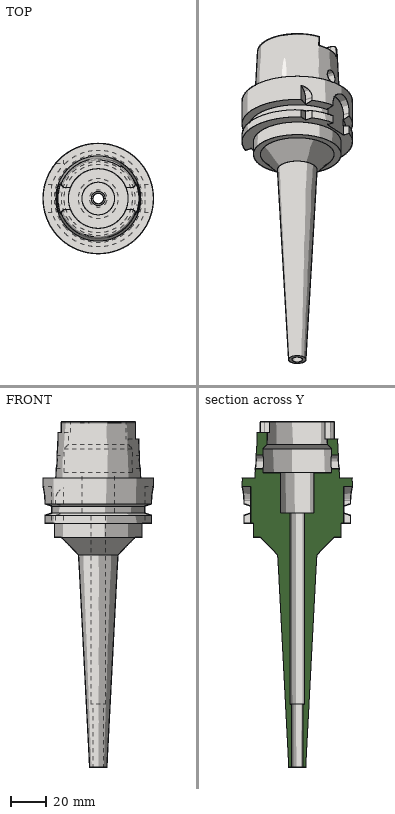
import cadquery as cq
import math


TAPER_LENGTH = 32.0
TAPER_BASE_DIAMETER = 48.5
TAPER_TOP_DIAMETER = 45.4
TAPER_EDGE_ROUND = 0.8

FLANGE_DIAMETER = 63.0
FLANGE_RADIUS = FLANGE_DIAMETER / 2
FLANGE_BOTTOM_Z = -26.0
GROOVE_DIAMETER = 55.0
GROOVE_CENTRE_Z = -18.1
GROOVE_FLOOR_WIDTH = 3.7
GROOVE_MOUTH_WIDTH = 6.6
COLLAR_DIAMETER = 50.0
COLLAR_BOTTOM_Z = -34.0

CONE_TOP_DIAMETER = 42.0
CONE_BOTTOM_Z = -44.0
SHANK_BOTTOM_Z = -165.0
SHANK_TIP_DIAMETER = 10.0
SHANK_HALF_ANGLE = 3.0

MOUTH_DIAMETER = 34.0
MOUTH_DEPTH = 13.0
UNDERCUT_DIAMETER = 39.0
UNDERCUT_CHAMFER = (UNDERCUT_DIAMETER - MOUTH_DIAMETER) / 2
CAVITY_FLOOR_Z = 3.0
TUBE_BORE_DIAMETER = 18.6
TUBE_BORE_FLOOR_Z = -20.0
PASSAGE_DIAMETER = 8.0
TOOL_BORE_DIAMETER = 6.0
TOOL_BORE_DEPTH = 36.0

KEYWAY_WIDTH = 12.5
KEYWAY_EDGE_ROUND = 2.5
KEYWAY_ROUND_OVERRUN = 0.1
LEFT_KEYWAY_DEPTH = 6.1
RIGHT_KEYWAY_DEPTH = 9.8

CROSS_HOLE_DIAMETER = 7.5
CROSS_HOLE_Z = 9.0

SLOT_WIDTH = 16.0
SLOT_ARC_CENTRE_Z = -13.0
SLOT_FLOOR_X = 26.5
NOTCH_CENTRE_Y = 28.0
NOTCH_FLOOR_X = 19.8


def revolve_profile(profile):
    """Revolve (radius, height) points about Z, starting on the +Y side."""
    return cq.Workplane("YZ").polyline(profile).close().revolve(360, (0, 0), (0, 1))


def make_body():
    """Revolve the outer profile."""
    flange_r = FLANGE_RADIUS
    groove_r = GROOVE_DIAMETER / 2
    collar_r = COLLAR_DIAMETER / 2
    half_floor = GROOVE_FLOOR_WIDTH / 2
    half_mouth = GROOVE_MOUTH_WIDTH / 2
    tip_r = SHANK_TIP_DIAMETER / 2
    shank_length = CONE_BOTTOM_Z - SHANK_BOTTOM_Z
    shank_top_r = tip_r + shank_length * math.tan(math.radians(SHANK_HALF_ANGLE))
    profile = [
        (0, TAPER_LENGTH),
        (TAPER_TOP_DIAMETER / 2, TAPER_LENGTH),
        (TAPER_BASE_DIAMETER / 2, 0),
        (flange_r, 0),
        (flange_r, GROOVE_CENTRE_Z + half_mouth),
        (groove_r, GROOVE_CENTRE_Z + half_floor),
        (groove_r, GROOVE_CENTRE_Z - half_floor),
        (flange_r, GROOVE_CENTRE_Z - half_mouth),
        (flange_r, FLANGE_BOTTOM_Z),
        (collar_r, FLANGE_BOTTOM_Z),
        (collar_r, COLLAR_BOTTOM_Z),
        (CONE_TOP_DIAMETER / 2, COLLAR_BOTTOM_Z),
        (shank_top_r, CONE_BOTTOM_Z),
        (tip_r, SHANK_BOTTOM_Z),
        (0, SHANK_BOTTOM_Z),
    ]
    return revolve_profile(profile).faces(">Z").edges().fillet(TAPER_EDGE_ROUND)


def make_axial_bores():
    """Revolve the stepped cavity that runs through the whole part."""
    mouth_r = MOUTH_DIAMETER / 2
    undercut_r = UNDERCUT_DIAMETER / 2
    tube_r = TUBE_BORE_DIAMETER / 2
    passage_r = PASSAGE_DIAMETER / 2
    tool_r = TOOL_BORE_DIAMETER / 2
    mouth_bottom_z = TAPER_LENGTH - MOUTH_DEPTH
    tool_bore_top_z = SHANK_BOTTOM_Z + TOOL_BORE_DEPTH
    profile = [
        (0, TAPER_LENGTH),
        (mouth_r, TAPER_LENGTH),
        (mouth_r, mouth_bottom_z),
        (undercut_r, mouth_bottom_z - UNDERCUT_CHAMFER),
        (undercut_r, CAVITY_FLOOR_Z),
        (tube_r, CAVITY_FLOOR_Z),
        (tube_r, TUBE_BORE_FLOOR_Z),
        (passage_r, TUBE_BORE_FLOOR_Z),
        (passage_r, tool_bore_top_z),
        (tool_r, tool_bore_top_z),
        (tool_r, SHANK_BOTTOM_Z),
        (0, SHANK_BOTTOM_Z),
    ]
    return revolve_profile(profile)


def taper_radius_at(z):
    """Outer radius of the taper at height z."""
    base_r = TAPER_BASE_DIAMETER / 2
    top_r = TAPER_TOP_DIAMETER / 2
    return base_r + (top_r - base_r) * z / TAPER_LENGTH


def make_keyway(side, depth):
    """Keyway through one wall, flared by a round at each side; side is -1 or +1 along X."""
    floor_z = TAPER_LENGTH - depth
    half_width = KEYWAY_WIDTH / 2
    edge_r = KEYWAY_EDGE_ROUND
    outer_r = taper_radius_at(floor_z) + KEYWAY_ROUND_OVERRUN
    centre_y = half_width + edge_r
    centre_x = math.sqrt((outer_r - edge_r) ** 2 - centre_y**2)
    end_angle = math.atan2(centre_y, centre_x)
    mid_angle = (end_angle - math.pi / 2) / 2

    def on_round(angle, y_sign):
        x = centre_x + edge_r * math.cos(angle)
        y = centre_y + edge_r * math.sin(angle)
        return (side * x, y_sign * y)

    end_y = on_round(end_angle, 1)[1]
    outer_x = side * FLANGE_RADIUS
    plan = (
        cq.Workplane("XY", origin=(0, 0, floor_z))
        .moveTo(0, -half_width)
        .lineTo(side * centre_x, -half_width)
        .threePointArc(on_round(mid_angle, -1), on_round(end_angle, -1))
        .lineTo(outer_x, -end_y)
        .lineTo(outer_x, end_y)
        .lineTo(*on_round(end_angle, 1))
        .threePointArc(on_round(mid_angle, 1), (side * centre_x, half_width))
        .lineTo(0, half_width)
        .close()
    )
    return plan.extrude(depth)


def make_flange_slot(side, floor_x, centre_y):
    """Round-topped slot with a flat floor facing away from the axis along X."""
    radius = SLOT_WIDTH / 2
    outline = (
        cq.Workplane("YZ", origin=(side * floor_x, 0, 0))
        .moveTo(centre_y - radius, FLANGE_BOTTOM_Z)
        .lineTo(centre_y - radius, SLOT_ARC_CENTRE_Z)
        .threePointArc(
            (centre_y, SLOT_ARC_CENTRE_Z + radius),
            (centre_y + radius, SLOT_ARC_CENTRE_Z),
        )
        .lineTo(centre_y + radius, FLANGE_BOTTOM_Z)
        .close()
    )
    return outline.extrude(side * FLANGE_RADIUS)


def make_cross_hole():
    """Hole along X through both walls of the taper."""
    return (
        cq.Workplane("YZ", origin=(0, 0, CROSS_HOLE_Z))
        .circle(CROSS_HOLE_DIAMETER / 2)
        .extrude(FLANGE_RADIUS, both=True)
    )


result = make_body().cut(make_axial_bores()).cut(make_cross_hole())

for side, keyway_depth in ((-1, LEFT_KEYWAY_DEPTH), (1, RIGHT_KEYWAY_DEPTH)):
    result = result.cut(make_keyway(side, keyway_depth))
    result = result.cut(make_flange_slot(side, SLOT_FLOOR_X, 0))

result = result.cut(make_flange_slot(-1, NOTCH_FLOOR_X, NOTCH_CENTRE_Y))